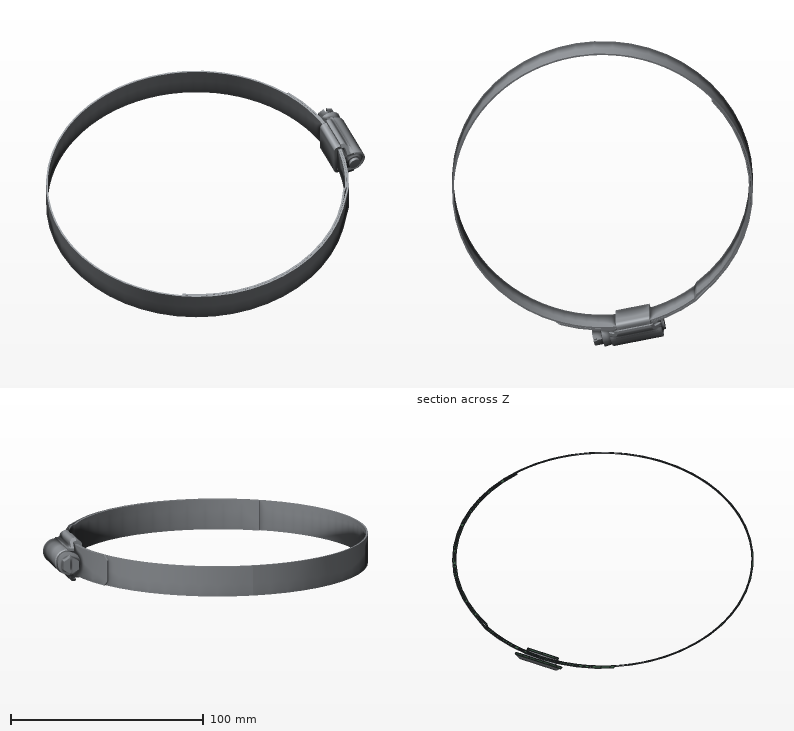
import cadquery as cq
import math


OVERALL_HEIGHT = 168.4
RING_DIAMETER = 156.5
BAND_THICKNESS = 0.93
LAYER_GAP = 0.08
BAND_WIDTH = 16.0
OUTER_END_ANGLE = 120
INNER_END_ANGLE = -30
JOG_START_ANGLE = 64
OUTER_JOG_END_ANGLE = 53
INNER_JOG_END_ANGLE = 62.3
SEAM_ANGLE = 180
TAIL_CHAMFER = 2.4

SHANK_RADIUS = 5.5
SHANK_TIP_CHAMFER = 1.5
HEX_ACROSS_FLATS = 7.9
HEX_LENGTH = 4.5
COLLAR_RADIUS = 6.0
COLLAR_LENGTH = 4.5
COLLAR_FACE_DEPTH = 0.5
DRIVE_SLOT_WIDTH = 1.3
DRIVE_SLOT_DEPTH = 2.0
END_PIN_RADIUS = 3.0
END_PIN_LENGTH = 1.5

HOUSING_LENGTH = 27.3
BARREL_RADIUS = 6.5
BARREL_END_CHAMFER = 0.5
SHEET_THICKNESS = 1.5
FLANGE_TOP_Y = 81.5
FLANGE_WIDTH = 23.0
LIP_BOTTOM_Y = 78.1
LIP_LENGTH = 18.2
BEND_RADIUS = 2.4
WALL_FILLET = 0.8

SADDLE_LENGTH = 17.8
SADDLE_WIDTH = 19.7
SADDLE_FLOOR = 1.5
SADDLE_BOTTOM_Y = 74.6
SADDLE_CORNER_RADIUS = 2.2

RING_RADIUS = RING_DIAMETER / 2
LAYER_PITCH = BAND_THICKNESS + LAYER_GAP
SCREW_AXIS_Y = OVERALL_HEIGHT - RING_RADIUS - BARREL_RADIUS
HOUSING_END_X = HOUSING_LENGTH / 2
FLANGE_UNDERSIDE_Y = FLANGE_TOP_Y - SHEET_THICKNESS
FLANGE_HALF_WIDTH = FLANGE_WIDTH / 2
LIP_INNER_Z = FLANGE_HALF_WIDTH - SHEET_THICKNESS
WALL_OUTER_Z = SHANK_RADIUS + SHEET_THICKNESS
BEND_INNER_RADIUS = BEND_RADIUS - SHEET_THICKNESS


def polar(radius, angle):
    """Point in the XY plane at a radius and an angle in degrees."""
    return (radius * math.cos(math.radians(angle)), radius * math.sin(math.radians(angle)))


def arc_to(path, radius, start_angle, end_angle):
    """Continue a path along a ring-centred arc."""
    return path.threePointArc(polar(radius, (start_angle + end_angle) / 2), polar(radius, end_angle))


def shank_cylinder():
    """Threaded stretch of the screw, as long as the housing."""
    return (
        cq.Workplane("YZ", origin=(-HOUSING_END_X, SCREW_AXIS_Y, 0))
        .circle(SHANK_RADIUS)
        .extrude(HOUSING_LENGTH)
    )


def make_band():
    """One strip wound clockwise: outer tail, full ring, then inner tail."""
    outer_layer = RING_RADIUS + LAYER_PITCH
    inner_layer = RING_RADIUS - LAYER_PITCH
    jog_start_next_turn = JOG_START_ANGLE - 360
    jog_end_next_turn = INNER_JOG_END_ANGLE - 360
    seam = SEAM_ANGLE - 360
    inner_end = INNER_END_ANGLE - 360
    t = BAND_THICKNESS

    path = cq.Workplane("XY", origin=(0, 0, -BAND_WIDTH / 2)).moveTo(*polar(outer_layer, OUTER_END_ANGLE))
    path = arc_to(path, outer_layer, OUTER_END_ANGLE, JOG_START_ANGLE)
    path = path.lineTo(*polar(RING_RADIUS, OUTER_JOG_END_ANGLE))
    path = arc_to(path, RING_RADIUS, OUTER_JOG_END_ANGLE, seam)
    path = arc_to(path, RING_RADIUS, seam, jog_start_next_turn)
    path = path.lineTo(*polar(inner_layer, jog_end_next_turn))
    path = arc_to(path, inner_layer, jog_end_next_turn, inner_end)
    path = path.lineTo(*polar(inner_layer - t, inner_end))
    path = arc_to(path, inner_layer - t, inner_end, jog_end_next_turn)
    path = path.lineTo(*polar(RING_RADIUS - t, jog_start_next_turn))
    path = arc_to(path, RING_RADIUS - t, jog_start_next_turn, seam)
    path = arc_to(path, RING_RADIUS - t, seam, OUTER_JOG_END_ANGLE)
    path = path.lineTo(*polar(outer_layer - t, JOG_START_ANGLE))
    path = arc_to(path, outer_layer - t, JOG_START_ANGLE, OUTER_END_ANGLE)
    band = path.close().extrude(BAND_WIDTH)

    tail_x, tail_y = polar(outer_layer - t / 2, OUTER_END_ANGLE)
    for z in (-BAND_WIDTH / 2, BAND_WIDTH / 2):
        corner = cq.selectors.NearestToPointSelector((tail_x, tail_y, z))
        band = band.edges(corner).chamfer(TAIL_CHAMFER)

    return band.cut(shank_cylinder())


def make_screw():
    """Slotted hexagon-head worm screw."""
    collar_start = -HOUSING_END_X - COLLAR_LENGTH
    hex_start = collar_start - HEX_LENGTH

    shank = shank_cylinder().faces(">X").chamfer(SHANK_TIP_CHAMFER)
    collar = (
        cq.Workplane("XY", origin=(0, SCREW_AXIS_Y, 0))
        .polyline([
            (collar_start, 0),
            (collar_start, HEX_ACROSS_FLATS / 2),
            (collar_start + COLLAR_FACE_DEPTH, COLLAR_RADIUS),
            (-HOUSING_END_X, SHANK_RADIUS),
            (-HOUSING_END_X, 0),
        ])
        .close()
        .revolve(360, (0, 0, 0), (1, 0, 0))
    )
    head = (
        cq.Workplane("YZ", origin=(hex_start, SCREW_AXIS_Y, 0))
        .transformed(rotate=(0, 0, 90))
        .polygon(6, HEX_ACROSS_FLATS / math.cos(math.pi / 6))
        .extrude(HEX_LENGTH + COLLAR_FACE_DEPTH)
    )
    end_pin = (
        cq.Workplane("YZ", origin=(HOUSING_END_X, SCREW_AXIS_Y, 0))
        .circle(END_PIN_RADIUS)
        .extrude(END_PIN_LENGTH)
    )
    drive_slot = cq.Workplane("XY").box(
        2 * DRIVE_SLOT_DEPTH, DRIVE_SLOT_WIDTH, 2 * HEX_ACROSS_FLATS
    ).translate((hex_start, SCREW_AXIS_Y, 0))
    return shank.union(collar).union(head).union(end_pin).cut(drive_slot)


def flange_half(side):
    """Barrel wall, flange and turned-down lip on one side (side is +1 or -1 along Z)."""
    profile = (
        cq.Workplane("YZ", origin=(-HOUSING_END_X, 0, 0))
        .moveTo(SCREW_AXIS_Y, side * SHANK_RADIUS)
        .lineTo(SCREW_AXIS_Y, side * WALL_OUTER_Z)
        .lineTo(FLANGE_TOP_Y + WALL_FILLET, side * WALL_OUTER_Z)
        .radiusArc((FLANGE_TOP_Y, side * (WALL_OUTER_Z + WALL_FILLET)), side * WALL_FILLET)
        .lineTo(FLANGE_TOP_Y, side * (FLANGE_HALF_WIDTH - BEND_RADIUS))
        .radiusArc((FLANGE_TOP_Y - BEND_RADIUS, side * FLANGE_HALF_WIDTH), -side * BEND_RADIUS)
        .lineTo(LIP_BOTTOM_Y, side * FLANGE_HALF_WIDTH)
        .lineTo(LIP_BOTTOM_Y, side * LIP_INNER_Z)
        .lineTo(FLANGE_UNDERSIDE_Y - BEND_INNER_RADIUS, side * LIP_INNER_Z)
        .radiusArc((FLANGE_UNDERSIDE_Y, side * (LIP_INNER_Z - BEND_INNER_RADIUS)), side * BEND_INNER_RADIUS)
        .lineTo(FLANGE_UNDERSIDE_Y, side * SHANK_RADIUS)
        .close()
    )
    return profile.extrude(HOUSING_LENGTH)


def make_housing():
    """Half barrel over the screw with a hooked flange on each side, cornered at 45 degrees."""
    barrel = (
        cq.Workplane("YZ", origin=(-HOUSING_END_X, SCREW_AXIS_Y, 0))
        .circle(BARREL_RADIUS)
        .extrude(HOUSING_LENGTH)
        .faces("<X or >X")
        .chamfer(BARREL_END_CHAMFER)
    )
    above_axis = cq.Workplane("XY").box(
        HOUSING_LENGTH, BARREL_RADIUS, 2 * BARREL_RADIUS, centered=(True, False, True)
    ).translate((0, SCREW_AXIS_Y, 0))
    housing = barrel.intersect(above_axis)
    for side in (1, -1):
        housing = housing.union(flange_half(side))
    housing = housing.cut(shank_cylinder())

    lip_end_x = LIP_LENGTH / 2
    bevel_start_z = FLANGE_HALF_WIDTH - (HOUSING_END_X - lip_end_x)
    plan = (
        cq.Workplane("XZ", origin=(0, LIP_BOTTOM_Y, 0))
        .polyline([
            (HOUSING_END_X, -bevel_start_z),
            (HOUSING_END_X, bevel_start_z),
            (lip_end_x, FLANGE_HALF_WIDTH),
            (-lip_end_x, FLANGE_HALF_WIDTH),
            (-HOUSING_END_X, bevel_start_z),
            (-HOUSING_END_X, -bevel_start_z),
            (-lip_end_x, -FLANGE_HALF_WIDTH),
            (lip_end_x, -FLANGE_HALF_WIDTH),
        ])
        .close()
        .extrude(-(SCREW_AXIS_Y + BARREL_RADIUS - LIP_BOTTOM_Y))
    )
    return housing.intersect(plan)


def make_saddle():
    """U-shaped bridge under the band, its legs standing inside the housing lips."""
    leg_height = FLANGE_UNDERSIDE_Y - SADDLE_BOTTOM_Y
    saddle = (
        cq.Workplane("XY")
        .box(SADDLE_LENGTH, leg_height, SADDLE_WIDTH, centered=(True, False, True))
        .edges("|X and <Y")
        .fillet(SADDLE_CORNER_RADIUS)
        .edges("|X and >Y")
        .fillet(BEND_INNER_RADIUS)
    )
    opening = (
        cq.Workplane("XY")
        .box(SADDLE_LENGTH, leg_height, BAND_WIDTH, centered=(True, False, True))
        .translate((0, SADDLE_FLOOR, 0))
    )
    return saddle.cut(opening).translate((0, SADDLE_BOTTOM_Y, 0))


band = make_band()
screw = make_screw()
housing = make_housing()
saddle = make_saddle()

result = cq.Compound.makeCompound([body.solids().val() for body in (band, screw, housing, saddle)])